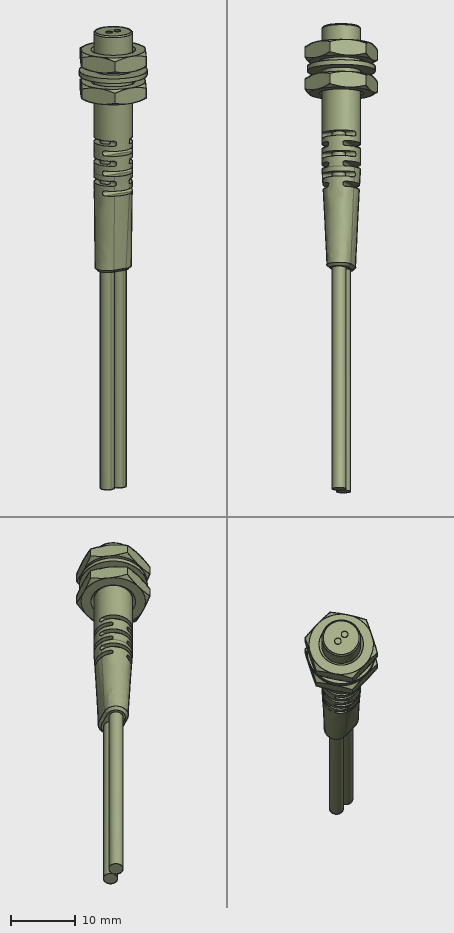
import cadquery as cq
import math

HEIGHT = 73.5

BARREL_DIAMETER = 6.0
BARREL_RADIUS = BARREL_DIAMETER / 2
BARREL_TIP_CHAMFER = 0.2
TAPER_TOP_Z = 50.85
BOOT_BOTTOM_Z = 35.1
BOOT_BOTTOM_WIDTH = 3.8
BOOT_CHAMFER = 0.45
TAPER_TOP_CORNER_Y = 1.5

CABLE_DIAMETER = 2.2
CABLE_PITCH = CABLE_DIAMETER
CABLE_TOP_Z = 57.85

FIBRE_DIAMETER = 1.0
FIBRE_PITCH = 1.55
FIBRE_DEPTH = 0.1

NOTCH_COUNT = 6
NOTCH_PITCH = 1.6
NOTCH_WIDTH = 0.8
NOTCH_FLOOR = 1.2
FIRST_NOTCH_Z = 56.15

NUT_ACROSS_FLATS = 10.0
NUT_HEIGHT = 2.5
NUT_TOP_Z = 70.55
NUT_PITCH = 5.1
NUT_COUNT = 2
NUT_BORE_CHAMFER = 0.45
NUT_CHAMFER_ANGLE = 30

WASHER_DIAMETER = 10.6
WASHER_THICKNESS = 0.7
WASHER_BOTTOM_Z = 66.5


def cylinder(diameter, bottom_z, top_z, y=0.0):
    """Vertical cylinder with its axis at x = 0."""
    height = top_z - bottom_z
    return cq.Workplane("XY", origin=(0, y, bottom_z)).circle(diameter / 2).extrude(height)


def tapered_boot():
    """Loft from the round barrel to a narrow straight-sided oval, with a chamfered lower end."""
    top_x = math.sqrt(BARREL_RADIUS**2 - TAPER_TOP_CORNER_Y**2)
    top_y = TAPER_TOP_CORNER_Y
    bottom_x = BOOT_BOTTOM_WIDTH / 2
    bottom_y = BARREL_RADIUS - bottom_x
    boot = (
        cq.Workplane("XY", origin=(0, 0, TAPER_TOP_Z))
        .moveTo(top_x, -top_y)
        .threePointArc((BARREL_RADIUS, 0), (top_x, top_y))
        .threePointArc((0, BARREL_RADIUS), (-top_x, top_y))
        .threePointArc((-BARREL_RADIUS, 0), (-top_x, -top_y))
        .threePointArc((0, -BARREL_RADIUS), (top_x, -top_y))
        .close()
        .workplane(offset=BOOT_BOTTOM_Z - TAPER_TOP_Z)
        .moveTo(bottom_x, -bottom_y)
        .lineTo(bottom_x, bottom_y)
        .threePointArc((0, BARREL_RADIUS), (-bottom_x, bottom_y))
        .lineTo(-bottom_x, -bottom_y)
        .threePointArc((0, -BARREL_RADIUS), (bottom_x, -bottom_y))
        .close()
        .loft(ruled=True)
    )
    return boot.faces("<Z").edges().chamfer(BOOT_CHAMFER)


def notch_pair(z, from_x_sides):
    """Two opposite slots with rounded floors, for cutting into the barrel at height z."""
    length = 2 * BARREL_DIAMETER
    centre = NOTCH_FLOOR + length / 2
    slots = (
        cq.Workplane("XZ")
        .pushPoints([(-centre, z), (centre, z)])
        .slot2D(length, NOTCH_WIDTH)
        .extrude(BARREL_DIAMETER, both=True)
    )
    if from_x_sides:
        return slots
    return slots.rotate((0, 0, 0), (0, 0, 1), 90)


def make_sensor():
    """Barrel, notched boot and both cables as one moulded body."""
    barrel = cylinder(BARREL_DIAMETER, TAPER_TOP_Z, HEIGHT).faces(">Z").chamfer(BARREL_TIP_CHAMFER)
    sensor = barrel.union(tapered_boot())
    for index in range(NOTCH_COUNT):
        z = FIRST_NOTCH_Z - index * NOTCH_PITCH
        sensor = sensor.cut(notch_pair(z, from_x_sides=index % 2 == 1))
    for side in (-1, 1):
        cable = cylinder(CABLE_DIAMETER, 0, CABLE_TOP_Z, side * CABLE_PITCH / 2)
        sensor = sensor.union(cable)
        fibre_y = side * FIBRE_PITCH / 2
        sensor = sensor.cut(cylinder(FIBRE_DIAMETER, HEIGHT - FIBRE_DEPTH, HEIGHT, fibre_y))
    return sensor


def make_nut(bottom_z):
    """Hexagon nut with corners on the Y axis, turned corners and a chamfered bore."""
    corner_radius = NUT_ACROSS_FLATS / 2 / math.cos(math.pi / 6)
    face_radius = NUT_ACROSS_FLATS / 2
    chamfer_drop = (corner_radius - face_radius) * math.tan(math.radians(NUT_CHAMFER_ANGLE))
    hexagon = (
        cq.Workplane("XY")
        .polygon(6, 2 * corner_radius)
        .extrude(NUT_HEIGHT)
        .rotate((0, 0, 0), (0, 0, 1), 90)
    )
    turned_blank = (
        cq.Workplane("XY")
        .circle(corner_radius)
        .extrude(NUT_HEIGHT)
        .faces("<Z or >Z")
        .chamfer(chamfer_drop, corner_radius - face_radius)
    )
    bore = cylinder(BARREL_DIAMETER, 0, NUT_HEIGHT)
    nut = hexagon.intersect(turned_blank).cut(bore)
    bore_rims = cq.selectors.RadiusNthSelector(0)
    nut = nut.faces("<Z or >Z").edges(bore_rims).chamfer(NUT_BORE_CHAMFER)
    return nut.translate((0, 0, bottom_z))


def make_washer():
    """Flat washer fitting the barrel."""
    top_z = WASHER_BOTTOM_Z + WASHER_THICKNESS
    disc = cylinder(WASHER_DIAMETER, WASHER_BOTTOM_Z, top_z)
    return disc.cut(cylinder(BARREL_DIAMETER, WASHER_BOTTOM_Z, top_z))


sensor = make_sensor()
washer = make_washer()
nuts = []
for index in range(NUT_COUNT):
    nuts.append(make_nut(NUT_TOP_Z - NUT_HEIGHT - index * NUT_PITCH).val())

result = cq.Compound.makeCompound([sensor.val(), washer.val(), *nuts])